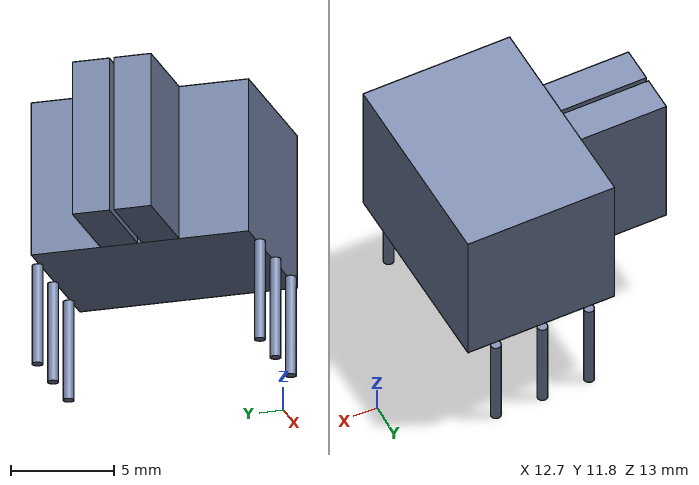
import cadquery as cq

housing_length = 8.0
housing_width = 11.0
housing_height = 7.89

plate_length = 4.65
plate_thickness = 1.88
plate_gap = 0.22
plate_height = housing_height

pin_diameter = 0.53
pin_length = 5.1
pin_pitch = 2.54
pins_per_row = 3
pin_row_spacing = 11.25


def make_housing():
    """Plain rectangular block."""
    return cq.Workplane("XY").box(
        housing_length, housing_width, housing_height, centered=(True, True, False)
    )


def make_plate(side):
    """One full-height plate; side is -1 or +1 for its place in Y."""
    center_x = -(housing_length + plate_length) / 2
    center_y = side * (plate_gap + plate_thickness) / 2
    return (
        cq.Workplane("XY")
        .box(plate_length, plate_thickness, plate_height, centered=(True, True, False))
        .translate((center_x, center_y, 0))
    )


def make_pin(x, y):
    """One straight pin reaching down from the underside of the housing."""
    return cq.Workplane("XY").center(x, y).circle(pin_diameter / 2).extrude(-pin_length)


housing = make_housing()
plates = [make_plate(side) for side in (-1, 1)]

pins = []
for side in (-1, 1):
    for index in range(pins_per_row):
        pin_x = (index - (pins_per_row - 1) / 2) * pin_pitch
        pins.append(make_pin(pin_x, side * pin_row_spacing / 2))

result = cq.Compound.makeCompound(
    [housing.val()]
    + [plate.val() for plate in plates]
    + [pin.val() for pin in pins]
)